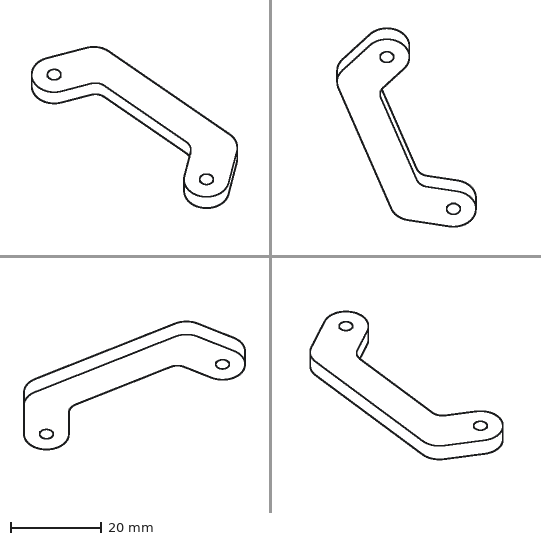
import cadquery as cq
import math

hole_spacing = 45.0
hole_diameter = 3.0
end_radius = 5.0
arm_angle = math.radians(60)
bar_inner_y = 5.0
bar_depth = 8.0
thickness = 4.0
outer_corner_radius = 5.0
inner_corner_radius = 3.0

hole_x = hole_spacing / 2
bar_outer_y = bar_inner_y + bar_depth
tangent_x = end_radius * math.sin(arm_angle)
tangent_y = end_radius * math.cos(arm_angle)


def arm_run(rise):
    """Distance along X that an arm side covers over a given rise in Y."""
    return rise / math.tan(arm_angle)


outer_tangent_x = hole_x + tangent_x
inner_tangent_x = hole_x - tangent_x
outer_corner_x = outer_tangent_x - arm_run(bar_outer_y - tangent_y)
inner_corner_x = inner_tangent_x - arm_run(bar_inner_y + tangent_y)

arc_middle_x = hole_x + end_radius * math.cos(arm_angle)
arc_middle_y = -end_radius * math.sin(arm_angle)


def make_plate():
    """Crossbar with two splayed arms that end in round lobes."""
    return (
        cq.Workplane("XY")
        .moveTo(-outer_corner_x, bar_outer_y)
        .lineTo(outer_corner_x, bar_outer_y)
        .lineTo(outer_tangent_x, tangent_y)
        .threePointArc((arc_middle_x, arc_middle_y), (inner_tangent_x, -tangent_y))
        .lineTo(inner_corner_x, bar_inner_y)
        .lineTo(-inner_corner_x, bar_inner_y)
        .lineTo(-inner_tangent_x, -tangent_y)
        .threePointArc((-arc_middle_x, arc_middle_y), (-outer_tangent_x, tangent_y))
        .close()
        .extrude(thickness)
    )


def round_corners(plate, corner_x, corner_y, radius):
    """Round the mirrored pair of vertical edges at (+/-corner_x, corner_y)."""
    for side in (-1, 1):
        edge_middle = (side * corner_x, corner_y, thickness / 2)
        plate = plate.edges(cq.selectors.NearestToPointSelector(edge_middle)).fillet(radius)
    return plate


def drill_holes(plate):
    """Drill a through hole concentric with each end lobe."""
    holes = (
        cq.Workplane("XY")
        .pushPoints([(-hole_x, 0), (hole_x, 0)])
        .circle(hole_diameter / 2)
        .extrude(thickness)
    )
    return plate.cut(holes)


body = make_plate()
body = round_corners(body, outer_corner_x, bar_outer_y, outer_corner_radius)
body = round_corners(body, inner_corner_x, bar_inner_y, inner_corner_radius)
result = drill_holes(body)